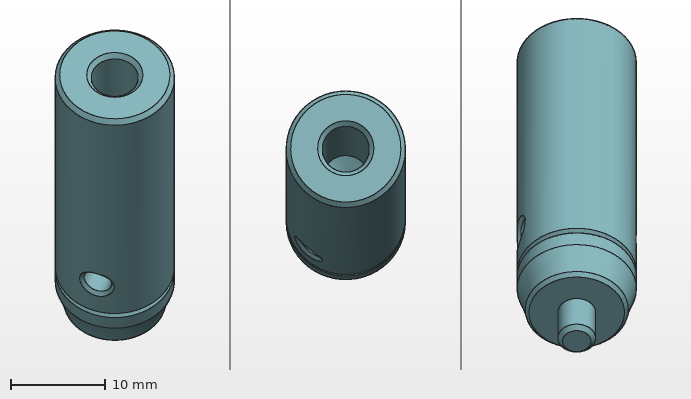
import cadquery as cq
import math

outer_diameter = 12.7
outer_radius = outer_diameter / 2
joint_z = 10.55
joint_depth = 0.45

top_z = 44.5
top_chamfer = 0.5
barrel_joint_chamfer_height = 0.3

bore_radius = 2.5
bore_depth = 15.0
bore_chamfer = 0.5
drill_tip_angle = 118.0

cross_hole_z = 15.55
cross_hole_diameter = 3.1
cross_hole_chamfer = 0.4

nose_joint_chamfer_height = 0.4
taper_top_z = 8.28
taper_middle_radius = 5.85
taper_bottom_radius = 5.47
taper_bottom_z = 5.0
nose_bottom_z = 4.55
nose_bottom_radius = 5.07
pin_radius = 2.0
pin_chamfer = 0.5


def make_bore():
    """Blind hole with a chamfered mouth and a conical bottom."""
    floor_z = top_z - bore_depth
    tip_height = bore_radius / math.tan(math.radians(drill_tip_angle / 2))
    return (
        cq.Workplane("XZ")
        .moveTo(0, top_z)
        .lineTo(bore_radius + bore_chamfer, top_z)
        .lineTo(bore_radius, top_z - bore_chamfer)
        .lineTo(bore_radius, floor_z)
        .lineTo(0, floor_z - tip_height)
        .close()
        .revolve(360, (0, 0), (0, 1))
    )


def make_barrel():
    """Round barrel, with the cross hole chamfered along both curved mouths."""
    blank = (
        cq.Workplane("XZ")
        .moveTo(0, joint_z)
        .lineTo(outer_radius - joint_depth, joint_z)
        .lineTo(outer_radius, joint_z + barrel_joint_chamfer_height)
        .lineTo(outer_radius, top_z - top_chamfer)
        .lineTo(outer_radius - top_chamfer, top_z)
        .lineTo(0, top_z)
        .close()
        .revolve(360, (0, 0), (0, 1))
    )
    cross_hole = (
        cq.Workplane("XZ")
        .center(0, cross_hole_z)
        .circle(cross_hole_diameter / 2)
        .extrude(2 * outer_radius, both=True)
    )
    drilled = blank.cut(cross_hole)
    mouth_half_size = cross_hole_diameter / 2 + cross_hole_chamfer
    mouths = drilled.edges(
        cq.selectors.BoxSelector(
            (-mouth_half_size, -2 * outer_radius, cross_hole_z - mouth_half_size),
            (mouth_half_size, 2 * outer_radius, cross_hole_z + mouth_half_size),
        )
    ).edges("not |Y")
    return mouths.chamfer(cross_hole_chamfer).cut(make_bore()).solids()


def make_nose():
    """Nose with a hollow-curved taper and a chamfered pilot pin below it."""
    taper_middle_z = (taper_top_z + taper_bottom_z) / 2
    return (
        cq.Workplane("XZ")
        .moveTo(0, joint_z)
        .lineTo(outer_radius - joint_depth, joint_z)
        .lineTo(outer_radius, joint_z - nose_joint_chamfer_height)
        .lineTo(outer_radius, taper_top_z)
        .threePointArc((taper_middle_radius, taper_middle_z), (taper_bottom_radius, taper_bottom_z))
        .lineTo(nose_bottom_radius, nose_bottom_z)
        .lineTo(pin_radius, nose_bottom_z)
        .lineTo(pin_radius, pin_chamfer)
        .lineTo(pin_radius - pin_chamfer, 0)
        .lineTo(0, 0)
        .close()
        .revolve(360, (0, 0), (0, 1))
    )


barrel = make_barrel()
nose = make_nose()
result = cq.Compound.makeCompound([barrel.val(), nose.val()])